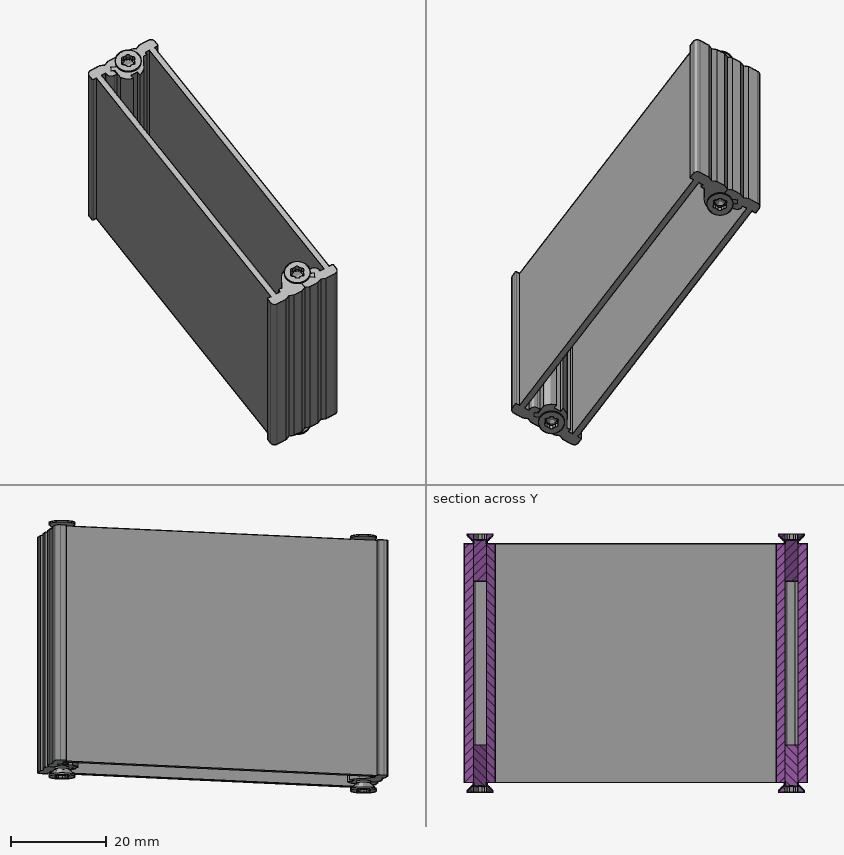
import cadquery as cq
import math

length = 71.8
depth = 16.4
profile_height = 50.0
head_rise = 2.0

wall = 2.3
corner_radius = 1.0
panel_outer = 7.25
panel_thickness = 1.3
groove_spacing = 3.95
groove_half_width = 1.0
groove_depth = 0.4
ledge_offset = 4.95
ledge_width = 0.65
flange_fillet = 0.2

screw_inset = 3.4
boss_radius = 3.3
boss_flank_angle = 60
notch_width = 1.6
notch_floor = 2.3
tongue_face = 2.95
tongue_angle = 240
tongue_reach = 3.65
tongue_width = 1.0
hook_slot = 0.15
hook_reach = 3.8
hook_radius = 1.2

shank_diameter = 3.0
head_diameter = 5.45
rim_height = 0.35
cone_height = (head_diameter - shank_diameter) / 2
shank_length = 7.9
socket_diameter = 2.65
socket_depth = 1.15
socket_tip_depth = 0.5
lobe_depth = 1.2
lobe_diameter = 0.85
lobe_count = 6
lobe_circle = 2.2

half_length = length / 2
half_depth = depth / 2
screw_x = -half_length + screw_inset


def at(inset, y):
    """Profile point given by its distance from the outside of the left end wall."""
    return (-half_length + inset, y)


def boss_at_angle(degrees):
    """Point on the round of the boss in a given direction from the screw axis."""
    angle = math.radians(degrees)
    return at(screw_inset + boss_radius * math.cos(angle), boss_radius * math.sin(angle))


def tongue_corners(neck_y):
    """Both tip corners of the tongue and the end of its second side, at height neck_y."""
    angle = math.radians(tongue_angle)
    tip_inset = screw_inset + tongue_reach * math.cos(angle)
    tip_y = tongue_reach * math.sin(angle)
    foot_inset = tip_inset - tongue_width * math.sin(angle)
    foot_y = tip_y + tongue_width * math.cos(angle)
    neck_inset = foot_inset + (neck_y - foot_y) / math.tan(angle)
    return at(tip_inset, tip_y), at(foot_inset, foot_y), at(neck_inset, neck_y)


def outer_wall(side):
    """Start of a wall profile: from the middle groove, round the corner, to the inner ledge."""
    arc_inset = corner_radius * (1 - math.sqrt(0.5))
    return (
        cq.Workplane("XY", origin=(0, 0, -profile_height / 2))
        .moveTo(*at(screw_inset, 0))
        .lineTo(*at(groove_depth, 0))
        .lineTo(*at(0, side * groove_half_width))
        .lineTo(*at(0, side * (groove_spacing - groove_half_width)))
        .lineTo(*at(groove_depth, side * groove_spacing))
        .lineTo(*at(0, side * (groove_spacing + groove_half_width)))
        .lineTo(*at(0, side * (half_depth - corner_radius)))
        .threePointArc(
            at(arc_inset, side * (half_depth - arc_inset)),
            at(corner_radius, side * half_depth),
        )
        .lineTo(*at(wall, side * half_depth))
        .lineTo(*at(wall, side * ledge_offset))
    )


def boss_wall():
    """Upper half of the left wall with the screw boss and the tongue."""
    flank_start = boss_at_angle(boss_flank_angle)
    ledge_x = wall + ledge_width
    flank_run = flank_start[0] - at(ledge_x, 0)[0]
    flank_y = flank_start[1] + flank_run / math.tan(math.radians(boss_flank_angle))
    notch_half = notch_width / 2
    notch_angle = math.degrees(math.asin(notch_half / boss_radius))
    face_angle = math.degrees(math.asin(tongue_face / boss_radius))
    tip, foot, neck = tongue_corners(-tongue_face)
    profile = (
        outer_wall(1)
        .lineTo(*at(ledge_x, ledge_offset))
        .lineTo(*at(ledge_x, flank_y))
        .lineTo(*flank_start)
        .threePointArc(boss_at_angle((boss_flank_angle + notch_angle) / 2), boss_at_angle(notch_angle))
        .lineTo(*at(screw_inset + notch_floor, notch_half))
        .lineTo(*at(screw_inset + notch_floor, -notch_half))
        .lineTo(*boss_at_angle(-notch_angle))
        .threePointArc(boss_at_angle(-(notch_angle + face_angle) / 2), boss_at_angle(-face_angle))
        .lineTo(*neck)
        .lineTo(*foot)
        .lineTo(*tip)
        .close()
    )
    return profile.extrude(profile_height)


def hook_wall():
    """Lower half of the left wall with the hook that holds the tongue."""
    tip, foot, neck = tongue_corners(-tongue_face - hook_slot)
    arc_inset = hook_radius * (1 - math.sqrt(0.5))
    profile = (
        outer_wall(-1)
        .lineTo(*at(hook_reach - hook_radius, -ledge_offset))
        .threePointArc(
            at(hook_reach - arc_inset, -ledge_offset + arc_inset),
            at(hook_reach, -ledge_offset + hook_radius),
        )
        .lineTo(*at(hook_reach, neck[1]))
        .lineTo(*neck)
        .lineTo(*foot)
        .lineTo(*tip)
        .close()
    )
    return profile.extrude(profile_height)


def half_turn(body):
    """Body turned half a turn about Z, which swaps the two shells."""
    return body.rotate((0, 0, 0), (0, 0, 1), 180)


def make_shell():
    """Upper shell: one panel, a boss wall on the left and a hook wall on the right."""
    panel = cq.Workplane("XY").box(length - 2 * wall, panel_thickness, profile_height)
    panel = panel.translate((0, panel_outer - panel_thickness / 2, 0))
    shell = panel.union(boss_wall()).union(half_turn(hook_wall()))
    for x in (wall - half_length, half_length - wall):
        flange_edge = cq.selectors.NearestToPointSelector((x, half_depth, 0))
        shell = shell.edges(flange_edge).fillet(flange_fillet)
    screw_holes = (
        cq.Workplane("XY", origin=(0, 0, -profile_height / 2))
        .pushPoints([(screw_x, 0), (-screw_x, 0)])
        .circle(shank_diameter / 2)
        .extrude(profile_height)
    )
    return shell.cut(screw_holes)


def make_screw():
    """Countersunk screw standing on the Z axis, at the height of the upper screws."""
    top = profile_height / 2 + head_rise
    cone_top = top - rim_height
    screw = (
        cq.Workplane("XZ")
        .moveTo(0, profile_height / 2 - shank_length)
        .lineTo(shank_diameter / 2, profile_height / 2 - shank_length)
        .lineTo(shank_diameter / 2, cone_top - cone_height)
        .lineTo(head_diameter / 2, cone_top)
        .lineTo(head_diameter / 2, top)
        .lineTo(0, top)
        .close()
        .revolve(360, (0, 0, 0), (0, 1, 0))
    )
    floor = top - socket_depth
    socket = (
        cq.Workplane("XZ")
        .moveTo(0, top)
        .lineTo(socket_diameter / 2, top)
        .lineTo(socket_diameter / 2, floor)
        .lineTo(0, floor - socket_tip_depth)
        .close()
        .revolve(360, (0, 0, 0), (0, 1, 0))
    )
    lobes = (
        cq.Workplane("XY", origin=(0, 0, top - lobe_depth))
        .polarArray(lobe_circle / 2, 90, 360, lobe_count)
        .circle(lobe_diameter / 2)
        .extrude(lobe_depth)
    )
    return screw.cut(socket).cut(lobes)


upper_shell = make_shell()
lower_shell = half_turn(upper_shell)

screws = []
for x in (screw_x, -screw_x):
    top_screw = make_screw().translate((x, 0, 0))
    screws.append(top_screw.val())
    screws.append(top_screw.mirror("XY").val())

result = cq.Compound.makeCompound([upper_shell.val(), lower_shell.val(), *screws])